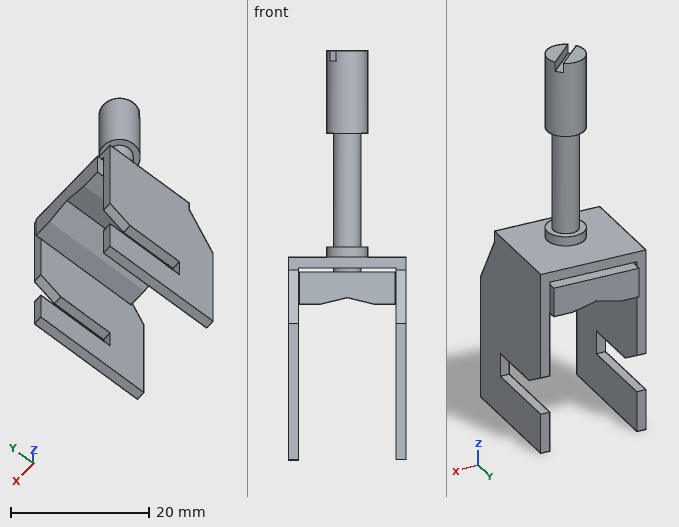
import cadquery as cq

bracket_width = 17.0
bracket_depth = 19.5
bracket_top = 29.4
leg_thickness = 1.5
plate_depth = 15.0
plate_thickness = 1.6

shoulder_drop = 1.85
slant_end_drop = 9.6
slot_depth = 13.1
slot_bottom = 6.5
slot_height = 3.75
mouth_chamfer_depth = 3.8
mouth_chamfer_height = 2.2
left_leg_bottom_rise = 0.1
right_leg_bottom = 0.1

block_width = 13.8
block_depth = 17.95
block_height = 4.7
block_overhang = 1.0
block_drop = 2.15
block_top = bracket_top - block_drop
notch_width = 7.75
notch_height = 0.95

total_height = 59.3
screw_y = -8.95
head_diameter = 6.0
head_length = 12.0
shaft_diameter = 4.05
collar_height = 1.5
driver_slot_width = 1.25
driver_slot_depth = 1.5
driver_slot_angle = 45


def leg(x_start, back_bottom, front_bottom):
    """Side leg with a slanted front shoulder and a slot open to the back."""
    slot_top = slot_bottom + slot_height
    outline = [
        (0, back_bottom),
        (-bracket_depth, front_bottom),
        (-bracket_depth, bracket_top - slant_end_drop),
        (-plate_depth, bracket_top - shoulder_drop),
        (-plate_depth, bracket_top),
        (0, bracket_top),
        (0, slot_top + mouth_chamfer_height),
        (-mouth_chamfer_depth, slot_top),
        (-slot_depth, slot_top),
        (-slot_depth, slot_bottom),
        (0, slot_bottom),
    ]
    profile = cq.Workplane("YZ", origin=(x_start, 0, 0)).polyline(outline).close()
    return profile.extrude(leg_thickness)


def top_plate():
    return cq.Workplane("XY").box(
        bracket_width, plate_depth, plate_thickness, centered=(True, False, False)
    ).translate((0, -plate_depth, bracket_top - plate_thickness))


def clamping_block():
    """Block with a shallow V notch along its underside."""
    half_width = block_width / 2
    half_notch = notch_width / 2
    bottom = block_top - block_height
    outline = [
        (-half_width, block_top),
        (half_width, block_top),
        (half_width, bottom),
        (half_notch, bottom),
        (0, bottom + notch_height),
        (-half_notch, bottom),
        (-half_width, bottom),
    ]
    profile = cq.Workplane("XZ", origin=(0, block_overhang, 0)).polyline(outline).close()
    return profile.extrude(block_depth)


def screw_cylinder(diameter, bottom, top):
    base = cq.Workplane("XY", origin=(0, screw_y, bottom))
    return base.circle(diameter / 2).extrude(top - bottom)


def screw():
    """Collared shaft standing on the block, with a slotted cylindrical head."""
    shaft = screw_cylinder(shaft_diameter, block_top, total_height - head_length)
    collar = screw_cylinder(head_diameter, bracket_top, bracket_top + collar_height)
    head = screw_cylinder(head_diameter, total_height - head_length, total_height)
    driver_slot = (
        cq.Workplane("XY")
        .box(2 * head_diameter, driver_slot_width, driver_slot_depth, centered=(True, True, False))
        .rotate((0, 0, 0), (0, 0, 1), driver_slot_angle)
        .translate((0, screw_y, total_height - driver_slot_depth))
    )
    return shaft.union(collar).union(head.cut(driver_slot))


left_leg = leg(-bracket_width / 2, 0, left_leg_bottom_rise)
right_leg = leg(bracket_width / 2 - leg_thickness, right_leg_bottom, right_leg_bottom)

result = top_plate().union(left_leg).union(right_leg).union(clamping_block()).union(screw())